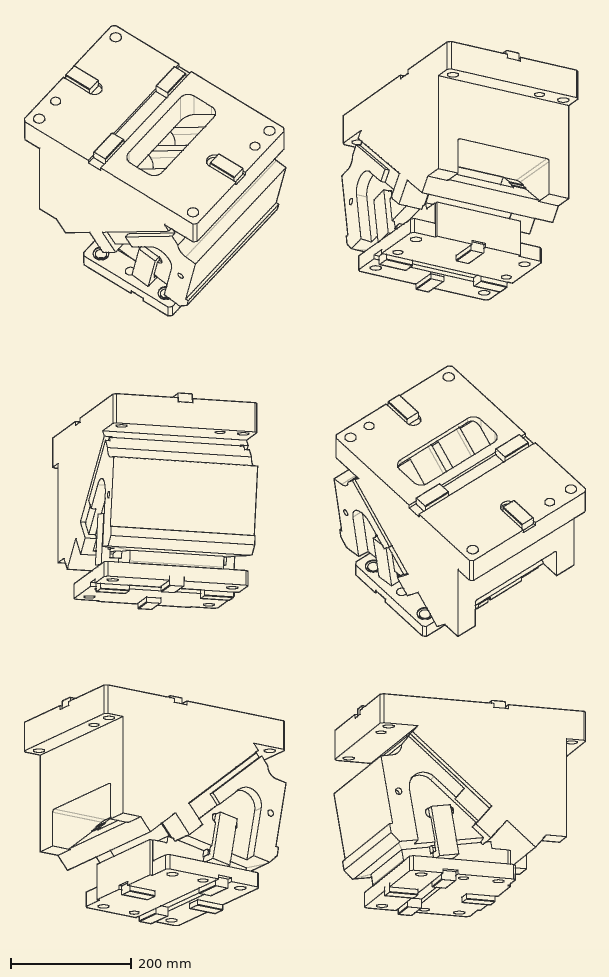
import cadquery as cq
import math

LENGTH = 360.0
WIDTH = 250.0
HALF_WIDTH = WIDTH / 2
HEIGHT = 318.0
CORNER_CHAMFER = 5.0

KEY_PROJECTION = 9.0
KEY_WIDTH = 25.0
KEY_LENGTH = 50.0
KEY_CHAMFER = 1.0
KEYWAY_WIDTH = 25.5
KEYWAY_DEPTH = 7.0
PLATE_TOP = HEIGHT - KEY_PROJECTION

PLATE_THICKNESS = 50.0
PLATE_BOTTOM = PLATE_TOP - PLATE_THICKNESS
BLOCK_LEFT = 35.0
BLOCK_BOTTOM = 90.0
TOP_CROSS_KEYWAY_X = 149.8
TOP_CROSS_KEY_Y = 85.5
TOP_END_KEY_GAP = 4.5
TOP_KEYWAY_LENGTH = 68.0
HOLE_INSET = 19.8
SCREW_HOLE_Y = 105.5
SCREW_HOLE_RADIUS = 9.5
DOWEL_HOLE_RADIUS = 8.3
LEFT_DOWEL_Y = -60.0
RIGHT_DOWEL_Y = 65.5

SLIDE_ANGLE = 40.0
SLIDE_X = 166.0
SLIDE_Z = 131.5
SLIDE_LENGTH = 181.0
ARM_THICKNESS = 30.0
HOOK_THICKNESS = 34.5
HOOK_DEPTH = 43.2
WEAR_PAD_THICKNESS = 2.0
WEAR_PAD_HALF_WIDTH = 111.5
HOOK_PAD_HALF_WIDTH = 79.2

WINDOW_LEFT = 180.7
WINDOW_RIGHT = 249.5
WINDOW_HALF_WIDTH = 87.0
WINDOW_RADIUS = 16.0
WINDOW_RIM_HEIGHT = 10.0
WINDOW_FLOOR_OFFSET = 76.5
SPRING_Y = 30.2
SPRING_RADIUS = 23.5
SPRING_WALL_DEPTH = 14.8
SPRING_GROOVE_START = 66.5

TUNNEL_TOP = 153.5
TUNNEL_RADIUS = 4.5
TUNNEL_FLOOR_OFFSET = 32.0
TUNNEL_STEP = 1.5
TUNNEL_STEP_HEIGHTS = (129.2, 138.2)
RECESS_HALF_WIDTH = 59.8
RECESS_START_Z = 123.5
RECESS_DEPTH = 27.5
RECESS_END = -3.2

RAMP_ANGLE = 10.0
RAMP_X = 153.5
RAMP_Z = 82.8
RAMP_LENGTH = 158.5

LEDGE_OFFSET = 10.8
LEDGE_START = 53.5
LEDGE_DEPTH = 8.3
END_ARC_RADIUS = 19.8
END_ARC_X = 343.5
END_ARC_Z = 224.3
HEEL_X = 342.5
HEEL_Z = 70.5
HEEL_RAMP_POSITION = (175.5, 3.5)
TOE_HEIGHT = 86.8
TOE_STEP = 5.0
BEVEL_RISE = 4.5
POCKET_OFFSET = 32.8
POCKET_DEPTH = 19.8
POCKET_RADIUS = 26.5
POCKET_FOOT_X = 295.0
POCKET_FOOT_Z = 61.2
SIDE_HOLE_X = 329.0
SIDE_HOLE_Z = 143.0
SIDE_HOLE_RADIUS = 5.5
SIDE_HOLE_DEPTH = 14.5
SIDE_HOLE_TIP = 3.5

STRAP_START = 72.5
STRAP_WIDTH = 34.2
STRAP_BOTTOM = -23.8
STRAP_TOP = 61.2
STRAP_OUTER_Y = 115.2
STRAP_INNER_Y = 100.8
STRAP_HOOK_Y = 85.5
STRAP_HOOK_HEIGHT = 12.2
STRAP_SLOT_LENGTH = 49.5
STRAP_SLOT_HEIGHT = 16.0

BASE_BOTTOM = KEY_PROJECTION
BASE_LEFT = 118.0
FLANGE_LEFT = 123.0
BASE_RIGHT = 308.0
FLANGE_THICKNESS = 25.2
FLANGE_TOP = BASE_BOTTOM + FLANGE_THICKNESS
SHELF_HEIGHT = 71.0
CORE_HALF_WIDTH = 81.5
NOSE_HALF_WIDTH = 80.0
BASE_CROSS_KEYWAY_X = 238.5
BASE_CROSS_KEY_Y = 90.5
CORE_END_HEIGHT = 18.0
LIP_OUTER_Y = 96.5
LIP_OVERHANG = 2.5
LIP_CHAMFER = 5.0
BASE_HOLE_Y = 103.5
BASE_SCREW_X = (147.2, 282.5)
BASE_DOWEL_X = 208.5
COUNTERBORE_RADIUS = 13.0
COUNTERBORE_DEPTH = 1.8

SIDES = (-1, 1)


def slide_point(along, above):
    """X, Z of a point given along and square to the slide plane."""
    a = math.radians(SLIDE_ANGLE)
    return (
        SLIDE_X + along * math.cos(a) - above * math.sin(a),
        SLIDE_Z + along * math.sin(a) + above * math.cos(a),
    )


def slide_along_at_height(z, above):
    """Distance along the slide at which a plane parallel to it reaches height z."""
    a = math.radians(SLIDE_ANGLE)
    return (z - SLIDE_Z - above * math.cos(a)) / math.sin(a)


def ramp_point(along, above):
    """X, Z of a point given along and square to the ramp plane."""
    a = math.radians(RAMP_ANGLE)
    return (
        RAMP_X + along * math.cos(a) + above * math.sin(a),
        RAMP_Z - along * math.sin(a) + above * math.cos(a),
    )


def prism(points, y_from, y_to):
    """Polygon in X, Z swept along Y."""
    sketch = cq.Workplane("XZ", origin=(0, y_from, 0)).polyline(points).close()
    return sketch.extrude(y_from - y_to)


def side_prism(points, side, inner, outer):
    """Prism between two distances from the middle plane, on one side of it."""
    return prism(points, min(side * inner, side * outer), max(side * inner, side * outer))


def rectangle(place, along_from, along_to, above_from, above_to):
    """Four corners of a rectangle in the slide or ramp frame."""
    return [
        place(along_from, above_from),
        place(along_to, above_from),
        place(along_to, above_to),
        place(along_from, above_to),
    ]


def block(x, y, z):
    """Box from its X, Y and Z ranges."""
    size = (x[1] - x[0], y[1] - y[0], z[1] - z[0])
    return cq.Workplane("XY").box(*size, centered=False).translate((x[0], y[0], z[0]))


def upright(x, y, radius, z_from, z_to):
    """Vertical cylinder."""
    return cq.Workplane("XY", origin=(x, y, z_from)).circle(radius).extrude(z_to - z_from)


def key(x, y, direction, seat, tip):
    """Fitting key along X or Y, from its keyway floor to its chamfered tip."""
    size = (KEY_LENGTH, KEY_WIDTH) if direction == "X" else (KEY_WIDTH, KEY_LENGTH)
    face = ">Z" if tip > seat else "<Z"
    body = cq.Workplane("XY", origin=(x, y, (seat + tip) / 2)).box(*size, abs(tip - seat))
    return body.faces(face).edges("|" + direction).chamfer(KEY_CHAMFER)


def body_blank():
    plate = block((0, LENGTH), (-HALF_WIDTH, HALF_WIDTH), (PLATE_BOTTOM, PLATE_TOP))
    plate = plate.edges("|Z").chamfer(CORNER_CHAMFER)
    inside_plate = (PLATE_BOTTOM + PLATE_TOP) / 2
    arm_corner = slide_along_at_height(BLOCK_BOTTOM, ARM_THICKNESS)
    lower = prism(
        [
            (BLOCK_LEFT, inside_plate),
            (BLOCK_LEFT, BLOCK_BOTTOM),
            slide_point(arm_corner, ARM_THICKNESS),
            slide_point(arm_corner, 0),
            slide_point(-HOOK_THICKNESS, 0),
            slide_point(-HOOK_THICKNESS, -HOOK_DEPTH),
            slide_point(0, -HOOK_DEPTH),
            slide_point(0, 0),
            slide_point(SLIDE_LENGTH, 0),
            slide_point(SLIDE_LENGTH, slide_end_height(inside_plate)),
        ],
        -HALF_WIDTH,
        HALF_WIDTH,
    )
    wear_pad = prism(
        rectangle(slide_point, 0, SLIDE_LENGTH, -WEAR_PAD_THICKNESS, 0),
        -WEAR_PAD_HALF_WIDTH,
        WEAR_PAD_HALF_WIDTH,
    )
    hook_pad = prism(
        rectangle(slide_point, -HOOK_THICKNESS - WEAR_PAD_THICKNESS, 0, -HOOK_DEPTH, 0),
        -HOOK_PAD_HALF_WIDTH,
        HOOK_PAD_HALF_WIDTH,
    )
    return plate.union(lower).union(wear_pad).union(hook_pad)


def slide_end_height(z):
    """Distance above the slide at which its upper end face reaches height z."""
    end_z = slide_point(SLIDE_LENGTH, 0)[1]
    return (z - end_z) / math.cos(math.radians(SLIDE_ANGLE))


def base_clearance():
    """Middle of the hook tip, cut off along the ramp to clear the base."""
    outline = rectangle(ramp_point, 0, RAMP_LENGTH / 2, -HOOK_DEPTH, 0)
    return prism(outline, -CORE_HALF_WIDTH, CORE_HALF_WIDTH)


def tunnel():
    """Opening in the left face with a stepped floor parallel to the slide."""
    arm_corner = slide_along_at_height(BLOCK_BOTTOM, ARM_THICKNESS)
    above = TUNNEL_FLOOR_OFFSET
    floor = [slide_point(arm_corner, ARM_THICKNESS), slide_point(arm_corner, above)]
    for z in TUNNEL_STEP_HEIGHTS:
        along = slide_along_at_height(z, above)
        floor.append(slide_point(along, above))
        above += TUNNEL_STEP
        floor.append(slide_point(along, above))
    floor.append(slide_point(slide_along_at_height(TUNNEL_TOP, above), above))
    outline = floor + [(BLOCK_LEFT, TUNNEL_TOP), (BLOCK_LEFT, BLOCK_BOTTOM)]
    opening = prism(outline, -WINDOW_HALF_WIDTH, WINDOW_HALF_WIDTH)
    return opening.faces(">Z").edges("|X").fillet(TUNNEL_RADIUS)


def tunnel_recess():
    """Deep recess in the middle of the tunnel floor."""
    start = slide_along_at_height(RECESS_START_Z, TUNNEL_FLOOR_OFFSET)
    floor = TUNNEL_FLOOR_OFFSET - RECESS_DEPTH
    top = TUNNEL_FLOOR_OFFSET + TUNNEL_STEP * len(TUNNEL_STEP_HEIGHTS)
    outline = rectangle(slide_point, start, RECESS_END, floor, top)
    return prism(outline, -RECESS_HALF_WIDTH, RECESS_HALF_WIDTH)


def spring_window():
    """Window in the plate down to a sloping floor with two round-bottomed grooves."""
    window = block(
        (WINDOW_LEFT, WINDOW_RIGHT),
        (-WINDOW_HALF_WIDTH, WINDOW_HALF_WIDTH),
        (SLIDE_Z, PLATE_TOP),
    )
    window = window.edges("|Z").fillet(WINDOW_RADIUS)
    above_floor = prism(
        rectangle(slide_point, 0, LENGTH, WINDOW_FLOOR_OFFSET, WINDOW_FLOOR_OFFSET + LENGTH),
        -HALF_WIDTH,
        HALF_WIDTH,
    )
    rim_bottom = PLATE_TOP - WINDOW_RIM_HEIGHT
    above_rim = block((0, LENGTH), (-HALF_WIDTH, HALF_WIDTH), (rim_bottom, PLATE_TOP))
    cut = window.intersect(above_floor.union(above_rim))
    below_rim = block((0, LENGTH), (-HALF_WIDTH, HALF_WIDTH), (0, rim_bottom))
    start_x, start_z = slide_point(SPRING_GROOVE_START, WINDOW_FLOOR_OFFSET)
    a = math.radians(SLIDE_ANGLE)
    groove_plane = cq.Plane(
        origin=(start_x, 0, start_z), xDir=(0, 1, 0), normal=(math.cos(a), 0, math.sin(a))
    )
    for side in SIDES:
        groove = (
            cq.Workplane(groove_plane)
            .center(side * SPRING_Y, 0)
            .moveTo(-SPRING_RADIUS, 0)
            .lineTo(-SPRING_RADIUS, -SPRING_WALL_DEPTH)
            .radiusArc((0, -SPRING_WALL_DEPTH - SPRING_RADIUS), -SPRING_RADIUS)
            .radiusArc((SPRING_RADIUS, -SPRING_WALL_DEPTH), -SPRING_RADIUS)
            .lineTo(SPRING_RADIUS, 0)
            .close()
            .extrude(SLIDE_LENGTH)
        )
        cut = cut.union(groove.intersect(below_rim))
    return cut


def plate_holes():
    places = [
        (HOLE_INSET, LEFT_DOWEL_Y, DOWEL_HOLE_RADIUS),
        (LENGTH - HOLE_INSET, RIGHT_DOWEL_Y, DOWEL_HOLE_RADIUS),
    ]
    for x in (HOLE_INSET, LENGTH - HOLE_INSET):
        for side in SIDES:
            places.append((x, side * SCREW_HOLE_Y, SCREW_HOLE_RADIUS))
    holes = cq.Workplane("XY")
    for x, y, radius in places:
        holes = holes.add(upright(x, y, radius, PLATE_BOTTOM, PLATE_TOP))
    return holes.combine()


def add_top_keys(body):
    seat = PLATE_TOP - KEYWAY_DEPTH
    half = KEYWAY_WIDTH / 2
    cross = (TOP_CROSS_KEYWAY_X - half, TOP_CROSS_KEYWAY_X + half)
    body = body.cut(block(cross, (-HALF_WIDTH, HALF_WIDTH), (seat, PLATE_TOP)))
    straight = TOP_KEYWAY_LENGTH - half
    for x_range in ((0, straight), (LENGTH - straight, LENGTH)):
        body = body.cut(block(x_range, (-half, half), (seat, PLATE_TOP)))
    for x in (straight, LENGTH - straight):
        body = body.cut(upright(x, 0, half, seat, PLATE_TOP))
    end_key = TOP_END_KEY_GAP + KEY_LENGTH / 2
    for x in (end_key, LENGTH - end_key):
        body = body.union(key(x, 0, "X", seat, HEIGHT))
    for side in SIDES:
        body = body.union(key(TOP_CROSS_KEYWAY_X, side * TOP_CROSS_KEY_Y, "Y", seat, HEIGHT))
    return body


def make_upper_body():
    body = body_blank().cut(base_clearance())
    body = body.cut(tunnel()).cut(tunnel_recess())
    body = body.cut(spring_window()).cut(plate_holes())
    return add_top_keys(body)


def hook_ramp_corner():
    """Point under the hook where its end face plane meets the ramp."""
    x, z = slide_point(0, -HOOK_DEPTH)
    slide = math.radians(SLIDE_ANGLE)
    ramp = math.radians(RAMP_ANGLE)
    above_ramp = (x - RAMP_X) * math.sin(ramp) + (z - RAMP_Z) * math.cos(ramp)
    return slide_point(-above_ramp / math.sin(slide + ramp), -HOOK_DEPTH)


def slider_blank():
    tilt = math.radians(RAMP_ANGLE)
    middle = math.radians((90 - RAMP_ANGLE) / 2)
    arc_start = (END_ARC_X - END_ARC_RADIUS, END_ARC_Z)
    arc_middle = (
        END_ARC_X - END_ARC_RADIUS * math.cos(middle),
        END_ARC_Z - END_ARC_RADIUS * math.sin(middle),
    )
    arc_end = (
        END_ARC_X - END_ARC_RADIUS * math.sin(tilt),
        END_ARC_Z - END_ARC_RADIUS * math.cos(tilt),
    )
    nose_z = arc_end[1] - (LENGTH - arc_end[0]) * math.tan(tilt)
    toe_x = LENGTH - (nose_z - TOE_HEIGHT) * math.tan(tilt)
    outline = (
        cq.Workplane("XZ", origin=(0, HALF_WIDTH, 0))
        .moveTo(*slide_point(0, -WEAR_PAD_THICKNESS))
        .lineTo(*slide_point(0, -HOOK_DEPTH))
        .lineTo(*hook_ramp_corner())
        .lineTo(*ramp_point(RAMP_LENGTH, 0))
        .lineTo(*ramp_point(*HEEL_RAMP_POSITION))
        .lineTo(HEEL_X, HEEL_Z)
        .lineTo(toe_x + TOE_STEP, TOE_HEIGHT - TOE_STEP * math.tan(tilt))
        .lineTo(toe_x, TOE_HEIGHT)
        .lineTo(LENGTH, nose_z)
        .lineTo(*arc_end)
        .threePointArc(arc_middle, arc_start)
        .lineTo(*slide_point(SLIDE_LENGTH, -WEAR_PAD_THICKNESS))
        .close()
    )
    return outline.extrude(WIDTH)


def underside_bevel(side):
    """Wedge that lifts the underside outside the base."""
    tilt = math.radians(RAMP_ANGLE)
    across_ramp = cq.Plane(
        origin=(RAMP_X, 0, RAMP_Z), xDir=(0, 1, 0), normal=(math.cos(tilt), 0, -math.sin(tilt))
    )
    wedge = [
        (side * CORE_HALF_WIDTH, 0),
        (side * HALF_WIDTH, BEVEL_RISE),
        (side * HALF_WIDTH, 0),
    ]
    return cq.Workplane(across_ramp).polyline(wedge).close().extrude(LENGTH)


def side_ledge(side):
    """Stepped shallow recess along the slide: wide at the lower end, narrow above."""
    outline = [
        slide_point(0, 0),
        slide_point(0, -POCKET_OFFSET),
        slide_point(LEDGE_START, -POCKET_OFFSET),
        slide_point(LEDGE_START, -LEDGE_OFFSET),
        slide_point(SLIDE_LENGTH, -LEDGE_OFFSET),
        slide_point(SLIDE_LENGTH, 0),
    ]
    return side_prism(outline, side, HALF_WIDTH - LEDGE_DEPTH, HALF_WIDTH)


def pocket(side):
    """Side pocket, open toward the base, with one round corner at its top."""
    slope = math.tan(math.radians(SLIDE_ANGLE))
    lean = math.tan(math.radians(RAMP_ANGLE))
    edge_x, edge_z = slide_point(0, -POCKET_OFFSET)
    reach = edge_z - POCKET_FOOT_Z - slope * (edge_x - POCKET_FOOT_X)
    corner_x = POCKET_FOOT_X + lean * reach / (1 - lean * slope)
    corner_z = POCKET_FOOT_Z + (corner_x - POCKET_FOOT_X) / lean
    foot = (POCKET_FOOT_X - lean * POCKET_FOOT_Z, 0)
    outline = [(edge_x, edge_z), (corner_x, corner_z), foot, (edge_x - HOOK_THICKNESS, 0)]
    outline.append(slide_point(-HOOK_THICKNESS, -POCKET_OFFSET))
    shape = side_prism(outline, side, HALF_WIDTH - POCKET_DEPTH, HALF_WIDTH)
    return shape.edges("|Y").edges(">Z").fillet(POCKET_RADIUS)


def strap_slot(side):
    """Round-ended slot in the pocket floor that seats the top of the strap."""
    radius = STRAP_SLOT_HEIGHT / 2
    middle = STRAP_START + STRAP_WIDTH / 2
    half = STRAP_SLOT_LENGTH / 2 - radius
    depth = (STRAP_INNER_Y, HALF_WIDTH - POCKET_DEPTH)
    straight = rectangle(
        ramp_point, middle - half, middle + half, STRAP_TOP - STRAP_SLOT_HEIGHT, STRAP_TOP
    )
    slot = side_prism(straight, side, *depth)
    for along in (middle - half, middle + half):
        x, z = ramp_point(along, STRAP_TOP - radius)
        end = cq.Workplane("XZ", origin=(x, side * depth[0], z)).circle(radius)
        slot = slot.union(end.extrude(side * (depth[0] - depth[1])))
    return slot


def strap(side):
    """Return strap with a hook toward the base at its lower end."""
    strap_end = STRAP_START + STRAP_WIDTH
    bar = rectangle(ramp_point, STRAP_START, strap_end, STRAP_BOTTOM, STRAP_TOP)
    hook = rectangle(
        ramp_point, STRAP_START, strap_end, STRAP_BOTTOM, STRAP_BOTTOM + STRAP_HOOK_HEIGHT
    )
    shape = side_prism(bar, side, STRAP_INNER_Y, STRAP_OUTER_Y)
    return shape.union(side_prism(hook, side, STRAP_HOOK_Y, STRAP_OUTER_Y))


def side_hole(side):
    """Blind hole with a conical bottom."""
    inward = cq.Vector(0, -side, 0)
    mouth = cq.Vector(SIDE_HOLE_X, side * HALF_WIDTH, SIDE_HOLE_Z)
    shoulder = mouth + inward * SIDE_HOLE_DEPTH
    shaft = cq.Solid.makeCylinder(SIDE_HOLE_RADIUS, SIDE_HOLE_DEPTH, mouth, inward)
    tip = cq.Solid.makeCone(SIDE_HOLE_RADIUS, 0, SIDE_HOLE_TIP, shoulder, inward)
    return cq.Workplane(shaft.fuse(tip))


def make_slider():
    body = slider_blank()
    for side in SIDES:
        body = body.cut(underside_bevel(side)).cut(side_ledge(side)).cut(pocket(side))
        body = body.cut(strap_slot(side)).cut(side_hole(side))
        body = body.union(strap(side))
    return body


def base_blank():
    """Flange, core with the ramp on top, and a slightly narrower nose at the left."""
    flange = block(
        (FLANGE_LEFT, BASE_RIGHT), (-HALF_WIDTH, HALF_WIDTH), (BASE_BOTTOM, FLANGE_TOP)
    )
    flange = flange.edges("|Z").chamfer(CORNER_CHAMFER)
    nose = block(
        (BASE_LEFT, RAMP_X), (-NOSE_HALF_WIDTH, NOSE_HALF_WIDTH), (BASE_BOTTOM, SHELF_HEIGHT)
    )
    shoulder_x = RAMP_X - (RAMP_Z - SHELF_HEIGHT) * math.tan(math.radians(RAMP_ANGLE))
    core = prism(
        [
            (FLANGE_LEFT, BASE_BOTTOM),
            (FLANGE_LEFT, SHELF_HEIGHT),
            (shoulder_x, SHELF_HEIGHT),
            ramp_point(0, 0),
            ramp_point(RAMP_LENGTH, 0),
            ramp_point(RAMP_LENGTH, -CORE_END_HEIGHT),
            (BASE_RIGHT, BASE_BOTTOM),
        ],
        -CORE_HALF_WIDTH,
        CORE_HALF_WIDTH,
    )
    return flange.union(nose).union(core)


def strap_lip(side):
    """Lip on the core that the strap hooks under, chamfered along its outer top edge."""
    lip_end = STRAP_START + STRAP_WIDTH + LIP_OVERHANG
    outline = rectangle(ramp_point, STRAP_START, lip_end, STRAP_BOTTOM + STRAP_HOOK_HEIGHT, 0)
    lip = side_prism(outline, side, CORE_HALF_WIDTH, LIP_OUTER_Y)
    top_x, top_z = ramp_point((STRAP_START + lip_end) / 2, 0)
    top_edge = cq.selectors.NearestToPointSelector((top_x, side * LIP_OUTER_Y, top_z))
    return lip.edges(top_edge).chamfer(LIP_CHAMFER)


def flange_holes(side):
    """Two counterbored screw holes and a dowel hole in one flange."""
    y = side * BASE_HOLE_Y
    holes = upright(BASE_DOWEL_X, y, DOWEL_HOLE_RADIUS, BASE_BOTTOM, FLANGE_TOP)
    for x in BASE_SCREW_X:
        holes = holes.union(upright(x, y, SCREW_HOLE_RADIUS, BASE_BOTTOM, FLANGE_TOP))
        seat = FLANGE_TOP - COUNTERBORE_DEPTH
        holes = holes.union(upright(x, y, COUNTERBORE_RADIUS, seat, FLANGE_TOP))
    return holes


def add_bottom_keys(body):
    seat = BASE_BOTTOM + KEYWAY_DEPTH
    half = KEYWAY_WIDTH / 2
    cross = (BASE_CROSS_KEYWAY_X - half, BASE_CROSS_KEYWAY_X + half)
    body = body.cut(block(cross, (-HALF_WIDTH, HALF_WIDTH), (BASE_BOTTOM, seat)))
    left_end = FLANGE_LEFT + KEY_LENGTH
    right_end = BASE_RIGHT - KEY_LENGTH
    for x_range in ((BASE_LEFT, left_end), (right_end, BASE_RIGHT)):
        body = body.cut(block(x_range, (-half, half), (BASE_BOTTOM, seat)))
    for x in (left_end - KEY_LENGTH / 2, right_end + KEY_LENGTH / 2):
        body = body.union(key(x, 0, "X", seat, 0))
    for side in SIDES:
        body = body.union(key(BASE_CROSS_KEYWAY_X, side * BASE_CROSS_KEY_Y, "Y", seat, 0))
    return body


def make_base():
    body = base_blank()
    for side in SIDES:
        body = body.union(strap_lip(side)).cut(flange_holes(side))
    return add_bottom_keys(body)


upper_body = make_upper_body()
slider = make_slider()
base = make_base()

result = cq.Compound.makeCompound(
    [upper_body.solids().val(), slider.solids().val(), base.solids().val()]
)